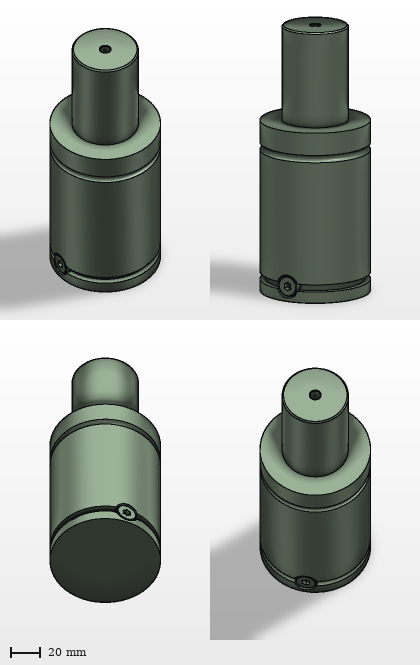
import cadquery as cq
import math

total_height = 185.0
body_diameter = 75.0
body_height = 118.8
rod_diameter = 45.0
rod_chamfer = 1.0

upper_groove_width = 5.0
upper_groove_z = 100.6

lower_groove_bottom = 8.0
lower_groove_width = 5.0
lower_groove_depth = 3.9

rod_hole_diameter = 6.8
rod_hole_mouth_diameter = 8.0
rod_hole_depth = 14.8
drill_point_angle = 118.0

port_diameter = 16.0
port_depth = 6.0
plug_diameter = 14.0
plug_chamfer = 0.5
plug_recess = 0.5
hex_across_flats = 5.0
hex_depth = 5.0

body_radius = body_diameter / 2
upper_groove_radius = upper_groove_width / 2
hex_across_corners = hex_across_flats / math.cos(math.radians(30))
plug_z = lower_groove_bottom + lower_groove_width / 2


def make_body():
    """Revolve the cylinder body with both retaining grooves."""
    floor_radius = body_radius - lower_groove_depth
    lower_groove_top = lower_groove_bottom + lower_groove_width
    profile = (
        cq.Workplane("XZ")
        .lineTo(body_radius, 0)
        .lineTo(body_radius, lower_groove_bottom)
        .lineTo(floor_radius, lower_groove_bottom)
        .lineTo(floor_radius, lower_groove_top)
        .lineTo(body_radius, lower_groove_top)
        .lineTo(body_radius, upper_groove_z - upper_groove_radius)
        .threePointArc(
            (body_radius - upper_groove_radius, upper_groove_z),
            (body_radius, upper_groove_z + upper_groove_radius),
        )
        .lineTo(body_radius, body_height)
        .lineTo(0, body_height)
        .close()
    )
    return profile.revolve(360, (0, 0, 0), (0, 1, 0))


def make_rod():
    """Piston rod with a chamfered end, rooted in the body."""
    return (
        cq.Workplane("XY")
        .circle(rod_diameter / 2)
        .extrude(total_height)
        .faces(">Z")
        .chamfer(rod_chamfer)
    )


def make_rod_hole():
    """Blind hole with a countersunk mouth and a conical drill point."""
    hole_radius = rod_hole_diameter / 2
    mouth_radius = rod_hole_mouth_diameter / 2
    mouth_depth = mouth_radius - hole_radius
    point_depth = hole_radius / math.tan(math.radians(drill_point_angle / 2))
    hole_bottom = total_height - rod_hole_depth
    profile = (
        cq.Workplane("XZ")
        .moveTo(0, total_height)
        .lineTo(mouth_radius, total_height)
        .lineTo(hole_radius, total_height - mouth_depth)
        .lineTo(hole_radius, hole_bottom)
        .lineTo(0, hole_bottom - point_depth)
        .close()
    )
    return profile.revolve(360, (0, 0, 0), (0, 1, 0))


def facing_plane(depth):
    """Workplane facing -Y, with local x along Z, sunk from the body surface."""
    origin = (0, depth - body_radius, plug_z)
    return cq.Workplane(cq.Plane(origin=origin, xDir=(0, 0, 1), normal=(0, -1, 0)))


def make_port():
    return facing_plane(port_depth).circle(port_diameter / 2).extrude(port_depth)


def make_plug():
    """Chamfered plug with a hexagon socket that has two corners along Z."""
    plug = (
        facing_plane(port_depth)
        .circle(plug_diameter / 2)
        .extrude(port_depth - plug_recess)
        .faces("<Y")
        .chamfer(plug_chamfer)
    )
    socket = (
        facing_plane(plug_recess + hex_depth)
        .polygon(6, hex_across_corners)
        .extrude(hex_depth)
    )
    return plug.cut(socket)


body_with_rod = make_body().union(make_rod()).cut(make_rod_hole())
result = body_with_rod.cut(make_port()).union(make_plug())